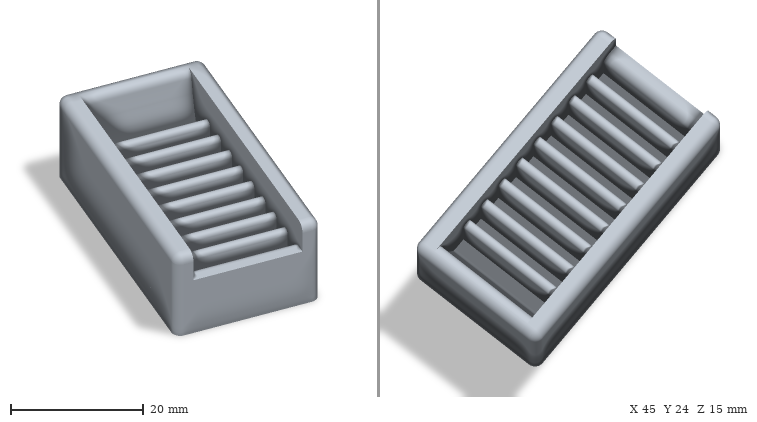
import cadquery as cq

LENGTH = 45.0
WIDTH = 24.0
HEIGHT = 15.0
EDGE_RADIUS = 1.5

FLOOR_THICKNESS = 3.0
END_WALL = 2.9
FOOT_X = 6.05
FOOT_RADIUS = 0.6
HOLLOW_RADIUS = 38.25

SIDE_WALL = 3.0
INNER_WIDTH = WIDTH - 2 * SIDE_WALL
LOW_WALL = 3.0
DIVIDER_TOP = 10.0
LOW_WALL_X = LENGTH - LOW_WALL
RIB_COUNT = 8
RIB_THICKNESS = 1.6
FIRST_RIB_X = 8.35
RIB_PITCH = (LOW_WALL_X - FIRST_RIB_X) / RIB_COUNT
RIB_TOP_RADIUS = 0.75


def block(x_start, x_length, y_length, z_bottom, z_top):
    """Box centred on Y, placed by its start in X and its range in Z."""
    return (
        cq.Workplane("XY", origin=(x_start, 0, z_bottom))
        .box(x_length, y_length, z_top - z_bottom, centered=(False, True, False))
    )


def make_envelope():
    """Outer shape shared by both bodies, with rounded upright and top edges."""
    envelope = block(0, LENGTH, WIDTH, 0, HEIGHT)
    return envelope.edges("|Z or >Z").fillet(EDGE_RADIUS)


def make_end_wall():
    """Tall end wall between the side walls; its inner face is a shallow hollow arc."""
    return (
        cq.Workplane("XZ", origin=(0, INNER_WIDTH / 2, 0))
        .moveTo(0, FLOOR_THICKNESS)
        .lineTo(0, HEIGHT)
        .lineTo(END_WALL, HEIGHT)
        .radiusArc((FOOT_X, FLOOR_THICKNESS), -HOLLOW_RADIUS)
        .close()
        .extrude(INNER_WIDTH)
    )


def make_base(envelope):
    """Floor plate and tall end wall as one solid, with the inner face rounded at top and foot."""
    floor = block(0, LENGTH, WIDTH, 0, FLOOR_THICKNESS)
    base = floor.union(make_end_wall())
    top_edge = cq.NearestToPointSelector((END_WALL, 0, HEIGHT))
    foot_edge = cq.NearestToPointSelector((FOOT_X, 0, FLOOR_THICKNESS))
    base = base.edges(top_edge).fillet(EDGE_RADIUS)
    base = base.edges(foot_edge).fillet(FOOT_RADIUS)
    return base.intersect(envelope)


def make_rib(x_start):
    """Cross rib with a nearly full round on its top."""
    rib = block(x_start, RIB_THICKNESS, INNER_WIDTH, FLOOR_THICKNESS, DIVIDER_TOP)
    return rib.edges("|Y and >Z").fillet(RIB_TOP_RADIUS)


def make_low_wall():
    """Low end wall, rounded along its inner top edge."""
    wall = block(LOW_WALL_X, LOW_WALL, INNER_WIDTH, FLOOR_THICKNESS, DIVIDER_TOP)
    return wall.edges("|Y and >Z and <X").fillet(EDGE_RADIUS)


def make_frame(envelope):
    """Side walls, ribs and low wall as one solid standing on the floor."""
    upper_part = block(0, LENGTH, WIDTH, FLOOR_THICKNESS, HEIGHT)
    channel = block(0, LENGTH, INNER_WIDTH, FLOOR_THICKNESS, HEIGHT)
    frame = envelope.intersect(upper_part).cut(channel).union(make_low_wall())
    for index in range(RIB_COUNT):
        frame = frame.union(make_rib(FIRST_RIB_X + index * RIB_PITCH))
    return frame


envelope = make_envelope()
base = make_base(envelope)
frame = make_frame(envelope)

result = cq.Compound.makeCompound([base.solids().val(), frame.solids().val()])